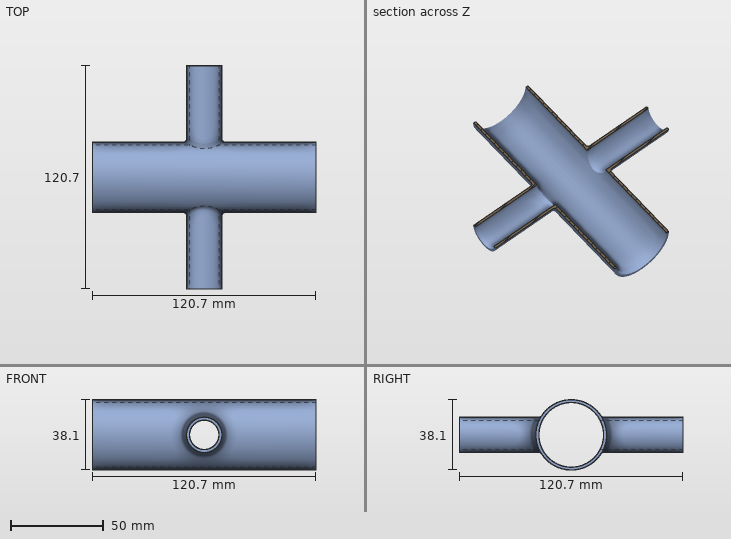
import cadquery as cq

run_length = 120.65
branch_span = 120.65
run_outer_diameter = 38.1
branch_outer_diameter = 19.05
wall_thickness = 1.65
junction_fillet_radius = 1.6

run_bore_diameter = run_outer_diameter - 2 * wall_thickness
branch_bore_diameter = branch_outer_diameter - 2 * wall_thickness


def run_cylinder(diameter):
    """Cylinder along X, centred on the origin."""
    return cq.Workplane("YZ").circle(diameter / 2).extrude(run_length / 2, both=True)


def branch_cylinder(diameter):
    """Cylinder along Y, centred on the origin."""
    return cq.Workplane("XZ").circle(diameter / 2).extrude(branch_span / 2, both=True)


def fillet_junctions(body):
    """Round the foot of each branch, whose edges are the only ones centred close to the origin."""
    reach = run_outer_diameter / 2
    junction_zone = cq.selectors.BoxSelector((-reach, -reach, -reach), (reach, reach, reach))
    return body.edges(junction_zone).fillet(junction_fillet_radius)


solid_cross = run_cylinder(run_outer_diameter).union(branch_cylinder(branch_outer_diameter))
solid_cross = fillet_junctions(solid_cross)

result = solid_cross.cut(run_cylinder(run_bore_diameter)).cut(branch_cylinder(branch_bore_diameter))